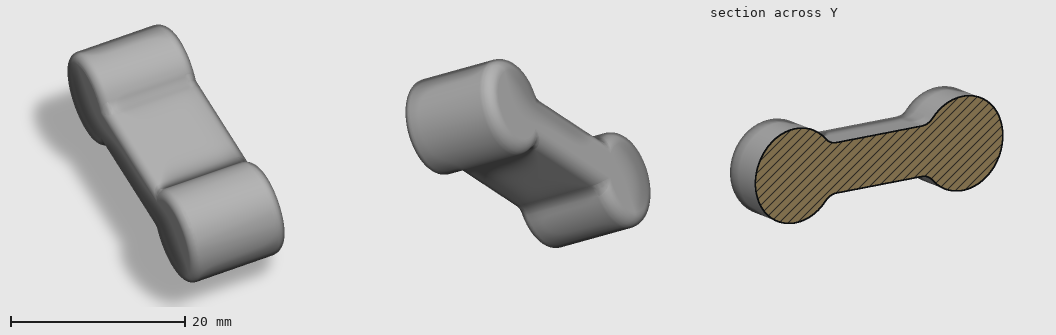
import cadquery as cq

length = 34.8
depth = 12.1
lobe_diameter = 11.3
web_thickness = 6.1

front_round = 1.0
back_round = 1.5
junction_round = 2.0

lobe_radius = lobe_diameter / 2
lobe_offset = length / 2 - lobe_radius


def extruded_profile():
    """Two round lobes joined by a flat web, extruded along Y and centred on the origin."""
    plane = cq.Workplane("XZ")
    lobes = (
        plane.pushPoints([(-lobe_offset, 0), (lobe_offset, 0)])
        .circle(lobe_radius)
        .extrude(depth / 2, both=True)
    )
    web = plane.rect(2 * lobe_offset, web_thickness).extrude(depth / 2, both=True)
    return lobes.union(web)


body = extruded_profile()
body = body.faces("<Y").edges().fillet(front_round)
body = body.faces(">Y").edges().fillet(back_round)

junction_half_length = lobe_offset - (lobe_radius**2 - (web_thickness / 2) ** 2) ** 0.5
selection_margin = 0.17
junction_edges = cq.selectors.BoxSelector(
    (-junction_half_length - selection_margin, -depth, -lobe_radius),
    (junction_half_length + selection_margin, depth, lobe_radius),
)
result = body.edges("|Y").edges(junction_edges).fillet(junction_round)